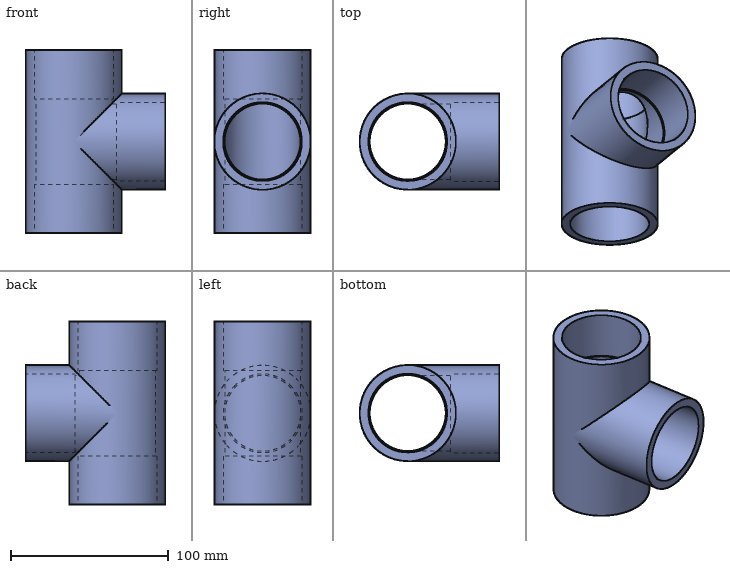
import cadquery as cq

run_length = 116.0
outer_diameter = 61.0
bore_diameter = 48.0
socket_diameter = 50.0
socket_depth = 31.0
branch_reach = run_length / 2


def run_cylinder(diameter):
    """Cylinder over the full run, centred on the origin."""
    return cq.Workplane("XY").circle(diameter / 2).extrude(run_length / 2, both=True)


def branch_cylinder(diameter):
    """Cylinder from the run axis to the branch mouth."""
    return cq.Workplane("YZ").circle(diameter / 2).extrude(branch_reach)


def socket(mouth_plane):
    """Pipe socket sunk inward from a mouth whose plane normal points outward."""
    return cq.Workplane(mouth_plane).circle(socket_diameter / 2).extrude(-socket_depth)


mouth_planes = [
    cq.Plane(origin=(0, 0, run_length / 2), normal=(0, 0, 1)),
    cq.Plane(origin=(0, 0, -run_length / 2), normal=(0, 0, -1)),
    cq.Plane(origin=(branch_reach, 0, 0), normal=(1, 0, 0)),
]

body = run_cylinder(outer_diameter).union(branch_cylinder(outer_diameter))
bores = run_cylinder(bore_diameter).union(branch_cylinder(bore_diameter))

result = body.cut(bores)
for mouth_plane in mouth_planes:
    result = result.cut(socket(mouth_plane))